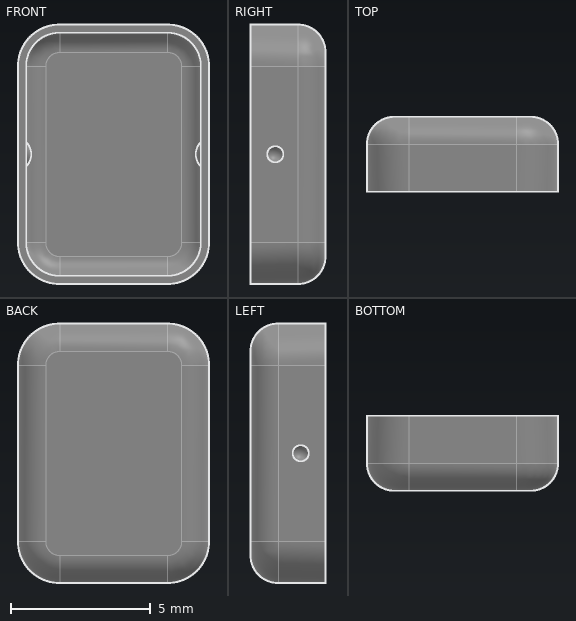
import cadquery as cq

width = 6.85
depth = 2.7
height = 9.3
wall = 0.3
corner_radius = 1.5
back_edge_radius = 0.995

dimple_radius = 0.29
dimple_depth = 0.19
dimple_from_rim = 0.89
dimple_y = -depth / 2 + dimple_from_rim
dent_sphere_radius = (dimple_radius**2 + dimple_depth**2) / (2 * dimple_depth)
bump_sphere_radius = dent_sphere_radius + wall


def rounded_block(inset):
    """Block with rounded corners and back edge, inset from all but the open face."""
    block_depth = depth - inset
    return (
        cq.Workplane("XY")
        .box(width - 2 * inset, block_depth, height - 2 * inset)
        .translate((0, -inset / 2, 0))
        .edges("|Y")
        .fillet(corner_radius - inset)
        .faces(">Y")
        .edges()
        .fillet(back_edge_radius - inset)
    )


def side_sphere(side, radius):
    """Sphere on the dimple axis of the wall at side = -1 or +1."""
    center_x = side * (width / 2 - dimple_depth + dent_sphere_radius)
    return (
        cq.Workplane("XY")
        .moveTo(-radius, 0)
        .threePointArc((0, radius), (radius, 0))
        .close()
        .revolve(360, (0, 0, 0), (1, 0, 0))
        .translate((center_x, dimple_y, 0))
    )


outer = rounded_block(0)
result = outer.cut(rounded_block(wall))

for side in (-1, 1):
    bump = side_sphere(side, bump_sphere_radius).intersect(outer)
    result = result.union(bump).cut(side_sphere(side, dent_sphere_radius))